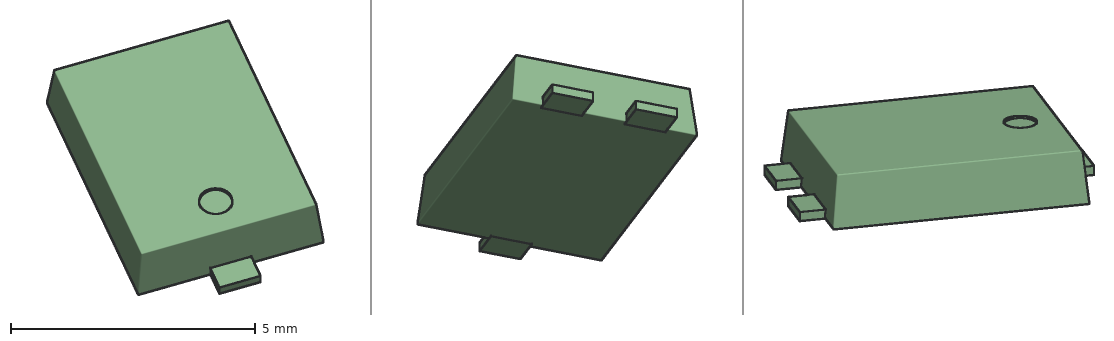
import cadquery as cq
import math

overall_length = 6.5
housing_length = 5.44
housing_width = 4.05
housing_height = 1.15

edge_radius = 0.025
draft_angle = 6.0
rounding_loss = edge_radius * (1 / math.cos(math.radians(draft_angle)) - 1
                               + math.tan(math.radians(draft_angle)))
base_length = housing_length + 2 * rounding_loss
base_width = housing_width + 2 * rounding_loss

mark_diameter = 0.68
mark_depth = 0.05
mark_x = 1.81

lead_width = 0.9
lead_thickness = 0.2
lead_offset_y = 0.915
lead_inner_x = base_length / 2 - housing_height * math.tan(math.radians(draft_angle))


def make_housing():
    block = (
        cq.Workplane("XY")
        .rect(base_length, base_width)
        .extrude(housing_height, taper=draft_angle)
        .edges()
        .fillet(edge_radius)
    )
    mark = (
        cq.Workplane("XY", origin=(mark_x, 0, housing_height - mark_depth))
        .circle(mark_diameter / 2)
        .extrude(mark_depth)
    )
    return block.cut(mark)


def make_lead(side, center_y):
    """Flat bar on the -X (side -1) or +X (side 1) end, with its inner end set into the housing."""
    length = overall_length / 2 - lead_inner_x
    center_x = side * (overall_length / 2 - length / 2)
    return (
        cq.Workplane("XY", origin=(center_x, center_y, 0))
        .box(length, lead_width, lead_thickness, centered=(True, True, False))
    )


lead_places = [(-1, -lead_offset_y), (-1, lead_offset_y), (1, 0)]
leads = [make_lead(side, center_y) for side, center_y in lead_places]

housing = make_housing()
for lead in leads:
    housing = housing.cut(lead)

result = cq.Compound.makeCompound([housing.val(), *[lead.val() for lead in leads]])